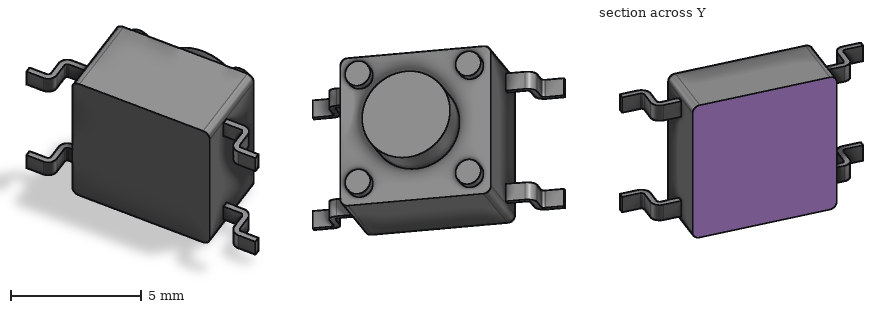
import cadquery as cq

housing_side = 6.0
housing_depth = 3.57
housing_corner_radius = 0.3

button_diameter = 3.5
button_height = 1.4
rivet_diameter = 1.0
rivet_height = 0.4
rivet_offset = housing_side / 2 - housing_corner_radius - rivet_diameter / 2

lead_span = 10.0
lead_width = 0.7
lead_thickness = 0.25
lead_height = 1.37
lead_riser_outer_x = 4.13
lead_offset_z = 2.25
bend_inner_radius = 0.13
bend_outer_radius = bend_inner_radius + lead_thickness


def back_cylinder(diameter, height, x=0, z=0):
    """Cylinder standing on the back face of the housing, pointing to +Y."""
    return (
        cq.Workplane("XZ", origin=(x, housing_depth, z))
        .circle(diameter / 2)
        .extrude(-height)
    )


def make_housing():
    return (
        cq.Workplane("XZ")
        .rect(housing_side, housing_side)
        .extrude(-housing_depth)
        .edges("|Y")
        .fillet(housing_corner_radius)
    )


def make_lead(z):
    """Right-hand lead: shoulder from the housing, riser and foot, with rounded bends."""
    root_x = housing_side / 2
    tip_x = lead_span / 2
    riser_inner_x = lead_riser_outer_x - lead_thickness
    shoulder_y = lead_height - lead_thickness
    lead = (
        cq.Workplane("XY", origin=(0, 0, z - lead_width / 2))
        .moveTo(root_x, lead_height)
        .lineTo(lead_riser_outer_x - bend_outer_radius, lead_height)
        .radiusArc((lead_riser_outer_x, lead_height - bend_outer_radius), bend_outer_radius)
        .lineTo(lead_riser_outer_x, lead_thickness + bend_inner_radius)
        .radiusArc((lead_riser_outer_x + bend_inner_radius, lead_thickness), -bend_inner_radius)
        .lineTo(tip_x, lead_thickness)
        .lineTo(tip_x, 0)
        .lineTo(riser_inner_x + bend_outer_radius, 0)
        .radiusArc((riser_inner_x, bend_outer_radius), bend_outer_radius)
        .lineTo(riser_inner_x, shoulder_y - bend_inner_radius)
        .radiusArc((riser_inner_x - bend_inner_radius, shoulder_y), -bend_inner_radius)
        .lineTo(root_x, shoulder_y)
        .close()
        .extrude(lead_width)
    )
    return lead


result = make_housing().union(back_cylinder(button_diameter, button_height))

for side_x in (-1, 1):
    for side_z in (-1, 1):
        rivet = back_cylinder(rivet_diameter, rivet_height, side_x * rivet_offset, side_z * rivet_offset)
        result = result.union(rivet)

for side_z in (-1, 1):
    right_lead = make_lead(side_z * lead_offset_z)
    result = result.union(right_lead).union(right_lead.mirror("YZ"))